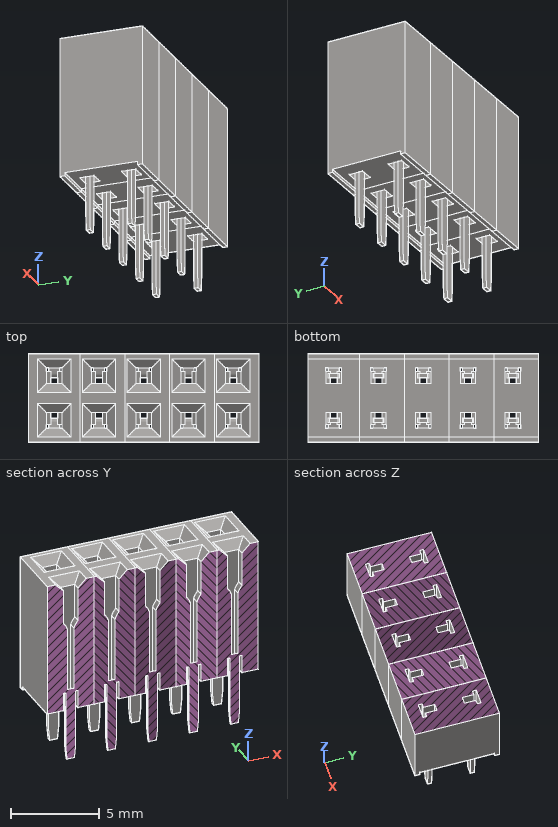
import cadquery as cq
import math

MODULES = 5
LENGTH = 13.1
DEPTH = 5.05
PITCH = 2.54
HEIGHT = 8.5

SIDE_MARGIN = (LENGTH - (MODULES - 1) * PITCH) / 2
SHARED_WALL = 2 * SIDE_MARGIN - PITCH

FOOT_HEIGHT = 0.2
FOOT_WIDTH = 0.3

MOUTH = 1.9
THROAT = 0.88
MOUTH_DEPTH = 0.51

SHEET = 0.25
PIN_WIDTH = 0.64
PIN_TIP_WIDTH = 0.48
PIN_TIP_LENGTH = 0.81
PIN_LENGTH = 3.0
BEND_RADIUS = 0.29
BEND_START = 1.31
SHELF_RISE = 9.0
CHEEK_TOP = 5.9
CHEEK_LEAD_WIDTH = 0.13
CHEEK_LEAD_ANGLE = 56.0
CHEEK_EDGE_ANGLE = 75.0
CHEEK_SETBACK = 0.2


def make_block(left, right):
    """Housing block of one module, with the relief cut along its underside."""
    width = right - left
    block = cq.Workplane("XY").box(width, DEPTH, HEIGHT, centered=(False, True, False))
    relief = cq.Workplane("XY").box(
        width, DEPTH - 2 * FOOT_WIDTH, FOOT_HEIGHT, centered=(False, True, False)
    )
    return block.cut(relief).translate((left, 0, 0))


def make_socket():
    """Square through hole with a tapered mouth, centred on the Z axis."""
    throat = cq.Workplane("XY").rect(THROAT, THROAT).extrude(HEIGHT)
    mouth = (
        cq.Workplane("XY", origin=(0, 0, HEIGHT - MOUTH_DEPTH))
        .rect(THROAT, THROAT)
        .workplane(offset=MOUTH_DEPTH)
        .rect(MOUTH, MOUTH)
        .loft(combine=True)
    )
    return throat.union(mouth)


def make_pin():
    """Straight flat pin with its width tapered at the lower end."""
    half = PIN_WIDTH / 2
    half_tip = PIN_TIP_WIDTH / 2
    taper_top = PIN_TIP_LENGTH - PIN_LENGTH
    outline = [
        (-half, BEND_START),
        (-half, taper_top),
        (-half_tip, -PIN_LENGTH),
        (half_tip, -PIN_LENGTH),
        (half, taper_top),
        (half, BEND_START),
    ]
    return cq.Workplane("XZ").polyline(outline).close().extrude(SHEET / 2, both=True)


def make_bend():
    """Bend from the pin to a rising shelf that meets the outer (+Y) throat wall."""
    inner_radius = BEND_RADIUS - SHEET
    centre_y = BEND_RADIUS - SHEET / 2
    wall_y = THROAT / 2
    shelf_slope = math.radians(SHELF_RISE)
    end_angle = math.pi / 2 + shelf_slope
    middle_angle = (math.pi + end_angle) / 2

    def on_bend(radius, angle):
        return (centre_y + radius * math.cos(angle), BEND_START + radius * math.sin(angle))

    def at_wall(radius):
        end_y, end_z = on_bend(radius, end_angle)
        return (wall_y, end_z + (wall_y - end_y) * math.tan(shelf_slope))

    return (
        cq.Workplane("YZ")
        .moveTo(*on_bend(BEND_RADIUS, math.pi))
        .threePointArc(on_bend(BEND_RADIUS, middle_angle), on_bend(BEND_RADIUS, end_angle))
        .lineTo(*at_wall(BEND_RADIUS))
        .lineTo(*at_wall(inner_radius))
        .lineTo(*on_bend(inner_radius, end_angle))
        .threePointArc(on_bend(inner_radius, middle_angle), on_bend(inner_radius, math.pi))
        .close()
        .extrude(PIN_WIDTH / 2, both=True)
    )


def make_cheek():
    """Plate on the -X throat wall; its top is a lead-in that curves steeper to the face."""
    lead_angle = math.radians(CHEEK_LEAD_ANGLE)
    edge_angle = math.radians(CHEEK_EDGE_ANGLE)
    wall_x = -THROAT / 2
    face_x = wall_x + SHEET
    lead_x = wall_x + CHEEK_LEAD_WIDTH
    lead_z = CHEEK_TOP - CHEEK_LEAD_WIDTH * math.tan(lead_angle)
    round_radius = (face_x - lead_x) / (math.sin(edge_angle) - math.sin(lead_angle))
    face_z = lead_z - round_radius * (math.cos(lead_angle) - math.cos(edge_angle))
    back_y = THROAT / 2 - CHEEK_SETBACK
    return (
        cq.Workplane("XZ", origin=(0, back_y, 0))
        .moveTo(wall_x, BEND_START)
        .lineTo(wall_x, CHEEK_TOP)
        .lineTo(lead_x, lead_z)
        .radiusArc((face_x, face_z), round_radius)
        .lineTo(face_x, BEND_START)
        .close()
        .extrude(THROAT - CHEEK_SETBACK)
    )


def make_contact():
    """Complete contact of the +Y row, with the pin on the Z axis."""
    cheek = make_cheek()
    return make_pin().union(make_bend()).union(cheek).union(cheek.mirror("YZ"))


def make_module(index, socket, contact):
    """One module: housing block joined with its two contacts."""
    centre_x = (index - (MODULES - 1) / 2) * PITCH
    left = centre_x - SIDE_MARGIN
    if index > 0:
        left += SHARED_WALL
    module = make_block(left, centre_x + SIDE_MARGIN)
    rear_offset = (centre_x, PITCH / 2, 0)
    front_offset = (centre_x, -PITCH / 2, 0)
    module = module.cut(socket.translate(rear_offset)).cut(socket.translate(front_offset))
    module = module.union(contact.translate(rear_offset))
    return module.union(contact.mirror("XZ").translate(front_offset))


socket = make_socket()
contact = make_contact()
modules = [make_module(index, socket, contact) for index in range(MODULES)]

result = cq.Compound.makeCompound([module.solids().val() for module in modules])